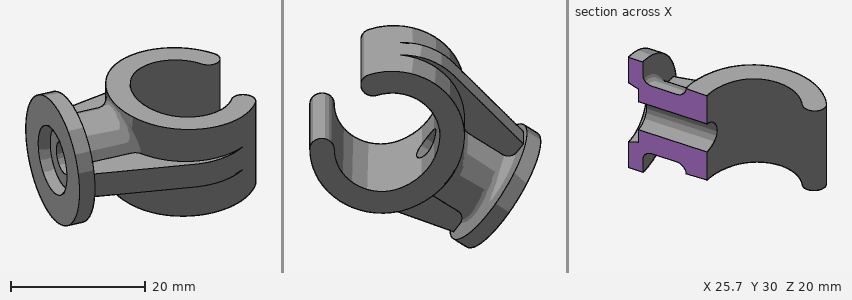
import cadquery as cq
import math

flange_diameter = 20.0
flange_radius = flange_diameter / 2
flange_thickness = 2.52
neck_radius = 6.15
neck_fillet = 1.5

hole_radius = 2.5
recess_mouth_radius = 5.35
recess_floor_radius = 4.77
recess_depth = 1.7

total_length = 30.0
ring_wall = 3.65
ring_front = 9.87
front_arc_radius = 13.47
side_arc_radius = 10.65
side_center_x = 1.53
tip_radius = ring_wall / 2
tip_center_y = total_length - tip_radius

front_half_height = 7.75
tip_half_height = 7.17

web_thickness = 3.95
web_half_width = 12.85
web_lower_radius = 10.8
web_upper_radius = 10.3
web_arc_center_y = 20.05
web_foot_x = 9.05

front_center_y = ring_front + front_arc_radius
center_offset = front_arc_radius - side_arc_radius
side_center_y = front_center_y - math.sqrt(center_offset**2 - side_center_x**2)
join_angle = math.atan2(side_center_y - front_center_y, side_center_x)
side_mid_radius = side_arc_radius - tip_radius
tip_angle = math.asin((tip_center_y - side_center_y) / side_mid_radius)


def mirrored(point):
    return (-point[0], point[1])


def on_side_arc(radius, angle):
    """Point on the right-hand side arc with the given radius."""
    return (side_center_x + radius * math.cos(angle), side_center_y + radius * math.sin(angle))


def make_ring():
    inner_radius = side_arc_radius - ring_wall
    outer_join = on_side_arc(side_arc_radius, join_angle)
    inner_join = on_side_arc(inner_radius, join_angle)
    outer_tip = on_side_arc(side_arc_radius, tip_angle)
    inner_tip = on_side_arc(inner_radius, tip_angle)
    outer_side = on_side_arc(side_arc_radius, 0)
    inner_side = on_side_arc(inner_radius, 0)
    tip_x, tip_y = on_side_arc(side_mid_radius, tip_angle)
    tip_end = (tip_x - tip_radius * math.sin(tip_angle), tip_y + tip_radius * math.cos(tip_angle))

    ring = (
        cq.Workplane("XY")
        .moveTo(*mirrored(outer_join))
        .threePointArc((0, ring_front), outer_join)
        .threePointArc(outer_side, outer_tip)
        .threePointArc(tip_end, inner_tip)
        .threePointArc(inner_side, inner_join)
        .threePointArc((0, ring_front + ring_wall), mirrored(inner_join))
        .threePointArc(mirrored(inner_side), mirrored(inner_tip))
        .threePointArc(mirrored(tip_end), mirrored(outer_tip))
        .threePointArc(mirrored(outer_side), mirrored(outer_join))
        .close()
        .extrude(front_half_height, both=True)
    )
    taper_envelope = (
        cq.Workplane("YZ")
        .polyline([
            (ring_front, -front_half_height),
            (total_length, -tip_half_height),
            (total_length, tip_half_height),
            (ring_front, front_half_height),
        ])
        .close()
        .extrude(side_center_x + side_arc_radius, both=True)
    )
    return ring.intersect(taper_envelope)


def y_cylinder(radius, start, end):
    return cq.Workplane("XZ", origin=(0, start, 0)).circle(radius).extrude(start - end)


def make_ring_and_neck():
    """Ring and neck, filleted where the neck runs into the front of the ring."""
    ring = make_ring()
    neck_end = front_center_y - math.sqrt((front_arc_radius - tip_radius) ** 2 - neck_radius**2)
    neck = y_cylinder(neck_radius, flange_thickness, neck_end)
    bore_clearance = (
        cq.Workplane("XY")
        .center(0, front_center_y)
        .circle(front_arc_radius - tip_radius)
        .extrude(front_half_height, both=True)
    )
    body = ring.union(neck.cut(bore_clearance))
    clearance = 0.3
    reach = neck_radius + clearance
    seam_box = cq.selectors.BoxSelector(
        (-reach, ring_front - clearance, -reach),
        (reach, neck_end, reach),
        boundingbox=True,
    )
    return body.edges(seam_box).fillet(neck_fillet)


def make_flange():
    """Flange with a quarter-round collar that blends into the neck."""
    fillet_end = flange_thickness + neck_fillet
    fillet_center = neck_radius + neck_fillet
    diagonal = neck_fillet * math.sqrt(0.5)
    return (
        cq.Workplane("XY")
        .lineTo(flange_radius, 0)
        .lineTo(flange_radius, flange_thickness)
        .lineTo(fillet_center, flange_thickness)
        .threePointArc((fillet_center - diagonal, fillet_end - diagonal), (neck_radius, fillet_end))
        .lineTo(0, fillet_end)
        .close()
        .revolve(360, (0, 0), (0, 1))
    )


def make_right_web():
    """Flat web whose straight side runs tangent into two arcs that end in the ring."""
    lower_center_x = web_half_width - web_lower_radius
    upper_center_x = web_half_width - web_upper_radius
    foot_dx = web_foot_x - lower_center_x
    foot_dy = flange_thickness - web_arc_center_y
    foot_distance = math.hypot(foot_dx, foot_dy)
    tangent_angle = math.atan2(foot_dy, foot_dx) + math.acos(web_lower_radius / foot_distance)
    tangent_point = (
        lower_center_x + web_lower_radius * math.cos(tangent_angle),
        web_arc_center_y + web_lower_radius * math.sin(tangent_angle),
    )
    buried_x, buried_y = on_side_arc(side_mid_radius, tip_angle)
    end_angle = math.atan2(buried_y - web_arc_center_y, buried_x - upper_center_x)
    arc_end = (
        upper_center_x + web_upper_radius * math.cos(end_angle),
        web_arc_center_y + web_upper_radius * math.sin(end_angle),
    )
    blank = (
        cq.Workplane("XY")
        .moveTo(0, flange_thickness)
        .lineTo(web_foot_x, flange_thickness)
        .lineTo(*tangent_point)
        .radiusArc((web_half_width, web_arc_center_y), -web_lower_radius)
        .radiusArc(arc_end, -web_upper_radius)
        .lineTo(0, side_center_y)
        .close()
        .extrude(web_thickness / 2, both=True)
    )
    join = on_side_arc(side_mid_radius, join_angle)
    front_mid = (0, ring_front + tip_radius)
    ring_interior = (
        cq.Workplane("XY")
        .moveTo(*front_mid)
        .radiusArc(join, -(front_arc_radius - tip_radius))
        .threePointArc(on_side_arc(side_mid_radius, 0), (buried_x, buried_y))
        .lineTo(0, buried_y)
        .close()
        .extrude(web_thickness / 2, both=True)
    )
    return blank.cut(ring_interior)


def make_screw_hole():
    """Cutter for the recess and for the hole that opens into the clip."""
    return (
        cq.Workplane("XY")
        .lineTo(recess_mouth_radius, 0)
        .lineTo(recess_floor_radius, recess_depth)
        .lineTo(hole_radius, recess_depth)
        .lineTo(hole_radius, front_center_y)
        .lineTo(0, front_center_y)
        .close()
        .revolve(360, (0, 0), (0, 1))
    )


right_web = make_right_web()
result = (
    make_ring_and_neck()
    .union(make_flange())
    .union(right_web)
    .union(right_web.mirror("YZ"))
    .cut(make_screw_hole())
)